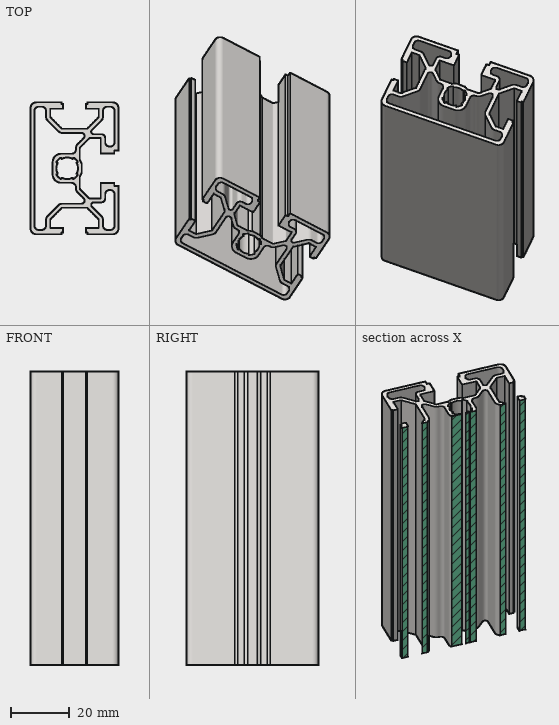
import cadquery as cq
import math

EIGHTH_TURN = 45

WIDTH = 30.0
DEPTH = 45.0
LENGTH = 100.0
HALF_W = WIDTH / 2
HALF_D = DEPTH / 2
CORNER_R = 2.0
SIDE_WALL = 1.4
END_WALL = 1.55

END_MOUTH = 3.9
END_MOUTH_STEP = 0.5
END_STEP_DEPTH = 0.6
END_LIP = 2.25
END_CHAMBER = 8.25
END_FLOOR = 4.3
END_FLOOR_Y = 13.5
END_TAPER_Y = END_FLOOR_Y + END_CHAMBER - END_FLOOR
END_WEB = 1.5

SIDE_MOUTH = 5.0
SIDE_MOUTH_STEP = 1.0
SIDE_STEP_DEPTH = 1.4
SIDE_LIP = 6.1
SIDE_CHAMBER = 10.25
SIDE_FLOOR_X = 1.85
SIDE_FLOOR = 7.05
SIDE_TAPER_X = SIDE_FLOOR_X + SIDE_CHAMBER - SIDE_FLOOR
SIDE_WEB = 1.4
SIDE_LIP_WEB = 1.6
SIDE_FLOOR_R = 0.5

CORE_X = -2.5
CORE_HALF = 5.0
CORE_R = 3.0
CORE_BULGE_HALF = 2.8
CORE_BULGE_FLAT = 1.6
BORE_R = 3.65
RELIEF_R = 4.2
RELIEF_SPAN = 30.0

CHAMBER_R = 1.4
BEND_R = 2.0
MAIN_TIP_R = 1.0
CORNER_TIP_R = 0.8
CORNER_CHAMBER_END = 7.45

BEND_SHIFT = math.tan(math.radians(EIGHTH_TURN / 2))

END_NECK = END_CHAMBER + END_WEB
END_NECK_Y = END_TAPER_Y - END_WEB * BEND_SHIFT
END_BACK_Y = END_FLOOR_Y - END_WEB
END_BACK = END_FLOOR + END_WEB * BEND_SHIFT


def prism(corners):
    """Extrude a closed outline of (x, y, fillet radius) corners over the full length."""
    pieces = []
    for i, (x, y, radius) in enumerate(corners):
        before = corners[i - 1]
        after = corners[(i + 1) % len(corners)]
        corner = cq.Vector(x, y)
        to_before = (cq.Vector(before[0], before[1]) - corner).normalized()
        to_after = (cq.Vector(after[0], after[1]) - corner).normalized()
        if radius == 0:
            pieces.append((corner,))
            continue
        half_angle = to_before.getAngle(to_after) / 2
        setback = radius / math.tan(half_angle)
        bisector = (to_before + to_after).normalized()
        middle = corner + bisector * (radius / math.sin(half_angle) - radius)
        pieces.append((corner + to_before * setback, middle, corner + to_after * setback))

    outline = cq.Workplane("XY").moveTo(*pieces[0][-1].toTuple()[:2])
    for piece in pieces[1:] + pieces[:1]:
        outline = outline.lineTo(*piece[0].toTuple()[:2])
        if len(piece) > 1:
            outline = outline.threePointArc(piece[1].toTuple()[:2], piece[2].toTuple()[:2])
    return outline.wire().extrude(LENGTH)


def mirrored_in_y(corners):
    """Close a half outline by adding its reflection in the XZ plane."""
    return corners + [(x, -y, radius) for x, y, radius in reversed(corners)]


def mirrored_in_x(corners):
    """Close a half outline by adding its reflection in the YZ plane."""
    return corners + [(-x, y, radius) for x, y, radius in reversed(corners)]


def flipped(corners):
    """Reflect a whole outline in the XZ plane."""
    return [(x, -y, radius) for x, y, radius in corners]


def outer_block():
    return prism(mirrored_in_y([(-HALF_W, HALF_D, CORNER_R), (HALF_W, HALF_D, CORNER_R)]))


def end_groove():
    return mirrored_in_x([
        (END_MOUTH + END_MOUTH_STEP, HALF_D, 0),
        (END_MOUTH + END_MOUTH_STEP, HALF_D - END_STEP_DEPTH, 0),
        (END_MOUTH, HALF_D - END_STEP_DEPTH, 0),
        (END_MOUTH, HALF_D - END_LIP, 0),
        (END_CHAMBER, HALF_D - END_LIP, 0),
        (END_CHAMBER, END_TAPER_Y, 0),
        (END_FLOOR, END_FLOOR_Y, 0),
    ])


def side_groove():
    core_face = CORE_X + CORE_HALF
    return mirrored_in_y([
        (HALF_W, SIDE_MOUTH + SIDE_MOUTH_STEP, 0),
        (HALF_W - SIDE_STEP_DEPTH, SIDE_MOUTH + SIDE_MOUTH_STEP, 0),
        (HALF_W - SIDE_STEP_DEPTH, SIDE_MOUTH, 0),
        (HALF_W - SIDE_LIP, SIDE_MOUTH, 0),
        (HALF_W - SIDE_LIP, SIDE_CHAMBER, 0),
        (SIDE_TAPER_X, SIDE_CHAMBER, SIDE_FLOOR_R),
        (SIDE_FLOOR_X, SIDE_FLOOR, SIDE_FLOOR_R),
        (SIDE_FLOOR_X, CORE_BULGE_HALF, 0),
        (core_face, CORE_BULGE_FLAT, 0),
    ])


def main_chamber():
    """Hollow behind the -X wall, wrapping around the screw core."""
    web_back_x = SIDE_FLOOR_X - SIDE_WEB
    web_bend_y = SIDE_FLOOR + SIDE_WEB * BEND_SHIFT
    tip_x = web_back_x + END_BACK_Y - web_bend_y
    return mirrored_in_y([
        (-HALF_W + SIDE_WALL, HALF_D - END_WALL, CHAMBER_R),
        (-END_NECK, HALF_D - END_WALL, CHAMBER_R),
        (-END_NECK, END_NECK_Y, BEND_R),
        (-END_BACK, END_BACK_Y, BEND_R),
        (tip_x, END_BACK_Y, MAIN_TIP_R),
        (web_back_x, web_bend_y, BEND_R),
        (web_back_x, CORE_HALF, CHAMBER_R),
        (CORE_X - CORE_HALF, CORE_HALF, CORE_R),
    ])


def corner_chamber():
    """Hollow between an end groove and the side groove."""
    back_y = SIDE_CHAMBER + SIDE_WEB
    tip_x = END_BACK + back_y - END_BACK_Y
    lip_back_x = HALF_W - SIDE_LIP + SIDE_LIP_WEB
    return [
        (HALF_W - SIDE_WALL, HALF_D - END_WALL, CHAMBER_R),
        (END_NECK, HALF_D - END_WALL, CHAMBER_R),
        (END_NECK, END_NECK_Y, BEND_R),
        (tip_x, back_y, CORNER_TIP_R),
        (lip_back_x, back_y, CHAMBER_R),
        (lip_back_x, CORNER_CHAMBER_END, CHAMBER_R),
        (HALF_W - SIDE_WALL, CORNER_CHAMBER_END, CHAMBER_R),
    ]


def on_bore(radius, degrees):
    """Point at a given radius and direction from the screw core's axis."""
    angle = math.radians(degrees)
    return CORE_X + radius * math.cos(angle), radius * math.sin(angle)


def screw_bore():
    """Round bore widened by a shallow relief on each diagonal."""
    half_span = RELIEF_SPAN / 2
    outline = cq.Workplane("XY").moveTo(*on_bore(BORE_R, 0))
    for diagonal in range(EIGHTH_TURN, 8 * EIGHTH_TURN, 2 * EIGHTH_TURN):
        start = diagonal - half_span
        end = diagonal + half_span
        outline = (
            outline
            .threePointArc(on_bore(BORE_R, start - half_span), on_bore(BORE_R, start))
            .lineTo(*on_bore(RELIEF_R, start))
            .threePointArc(on_bore(RELIEF_R, diagonal), on_bore(RELIEF_R, end))
            .lineTo(*on_bore(BORE_R, end))
            .threePointArc(on_bore(BORE_R, end + half_span), on_bore(BORE_R, diagonal + EIGHTH_TURN))
        )
    return outline.close().extrude(LENGTH)


result = outer_block()
for outline in (end_groove(), corner_chamber()):
    result = result.cut(prism(outline)).cut(prism(flipped(outline)))
for outline in (side_groove(), main_chamber()):
    result = result.cut(prism(outline))
result = result.cut(screw_bore())